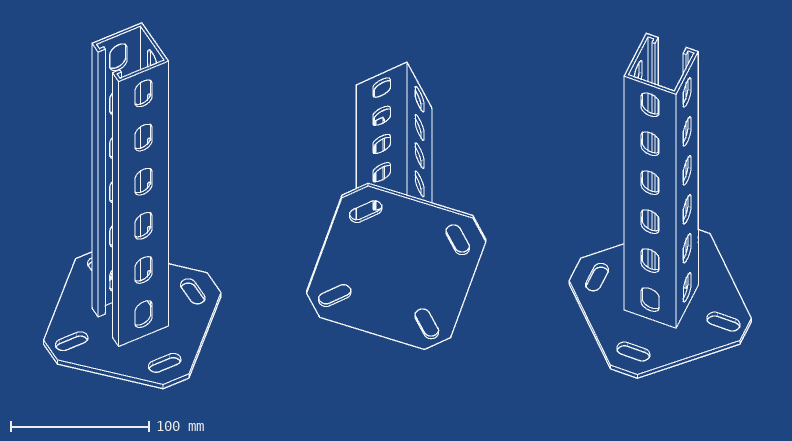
import cadquery as cq

plate_side = 110.0
corner_cut = 15.0
plate_thickness = 5.0

anchor_slot_length = 25.0
anchor_slot_width = 11.0
anchor_radius = 49.7

channel_width = 41.0
channel_depth = 41.0
channel_length = 300.0
wall = 2.5
mouth_width = 22.0
lip_height = 6.0
channel_center_y = -1.65

wall_slot_length = 28.0
wall_slot_width = 14.0
wall_slot_pitch = 50.0
wall_slot_count = 6


def make_plate():
    plate = (
        cq.Workplane("XY")
        .rect(plate_side, plate_side)
        .extrude(plate_thickness)
        .edges("|Z")
        .chamfer(corner_cut)
        .rotate((0, 0, 0), (0, 0, 1), 45)
    )
    anchor_slots = [
        (-anchor_radius, 0, 0),
        (0, -anchor_radius, 90),
        (anchor_radius, 0, 90),
        (0, anchor_radius, 0),
    ]
    for x, y, angle in anchor_slots:
        slot = (
            cq.Workplane("XY")
            .center(x, y)
            .slot2D(anchor_slot_length, anchor_slot_width, angle)
            .extrude(plate_thickness)
        )
        plate = plate.cut(slot)
    return plate


def make_channel_profile():
    """Extrude the C-section, centred on the origin and standing on Z = 0."""
    half_width = channel_width / 2
    half_depth = channel_depth / 2
    half_mouth = mouth_width / 2
    right_half = [
        (half_width, half_depth),
        (half_width, -half_depth),
        (half_mouth, -half_depth),
        (half_mouth, -half_depth + lip_height),
        (half_mouth + wall, -half_depth + lip_height),
        (half_mouth + wall, -half_depth + wall),
        (half_width - wall, -half_depth + wall),
        (half_width - wall, half_depth - wall),
    ]
    left_half = [(-x, y) for x, y in reversed(right_half)]
    return cq.Workplane("XY").polyline(right_half + left_half).close().extrude(channel_length)


def make_channel():
    channel = make_channel_profile()
    slot_centers = [(0, wall_slot_pitch / 2 + i * wall_slot_pitch) for i in range(wall_slot_count)]

    side_slots = (
        cq.Workplane("YZ")
        .pushPoints(slot_centers)
        .slot2D(wall_slot_length, wall_slot_width, 90)
        .extrude(channel_width, both=True)
    )
    back_slots = (
        cq.Workplane("XZ")
        .pushPoints(slot_centers)
        .slot2D(wall_slot_length, wall_slot_width, 90)
        .extrude(-channel_depth)
    )
    channel = channel.cut(side_slots).cut(back_slots)
    return channel.translate((0, channel_center_y, plate_thickness))


plate = make_plate()
channel = make_channel()

result = cq.Compound.makeCompound([plate.val(), channel.val()])